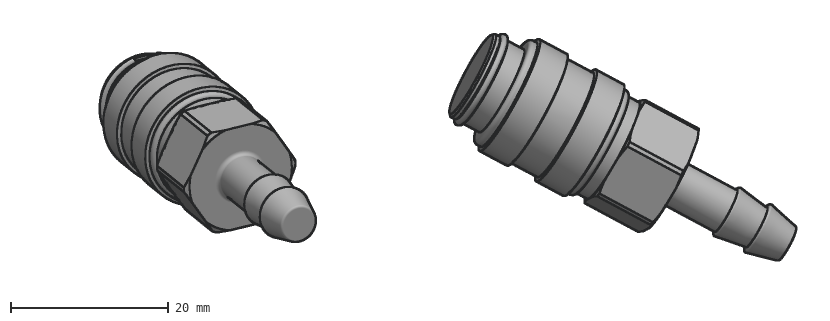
import cadquery as cq
import math


nose_dia = 12.0
nose_face_dia = 11.4
groove_floor_dia = 11.15
groove_start = 0.88
groove_end = 2.0

sleeve_start = 4.45
sleeve_end = 19.0
sleeve_dia = 15.1
neck_dia = 14.0
sleeve_rim_fillet = (sleeve_dia - neck_dia) / 2
band_dia = 16.15
band_inset = 1.0
band_root_width = 4.3
band_wall_taper = 0.15

hex_start = 20.68
hex_end = 29.07
hex_across_flats = 14.0
hex_corner_dia = 15.8
hex_turn = 3.0
hex_end_dia = 14.45
hex_chamfer_length = 0.28

stem_dia = 6.05
stem_root_fillet = 0.55
barb_dia = 7.1
barb_lip_fillet = 0.28
first_barb_start = 37.15
second_barb_start = 41.65
first_barb_end_dia = 5.7
tip_dia = 4.9
tip_fillet = 0.3
total_length = 46.15

wire_dia = 0.95
ring_gap_half_angle = 16.0


def cylinder(start, end, diameter):
    """Solid cylinder about the X axis between two X positions."""
    return cq.Workplane("YZ").workplane(offset=start).circle(diameter / 2).extrude(end - start)


def cone(start, end, start_dia, end_dia):
    """Solid cone frustum about the X axis."""
    return cq.Workplane(cq.Solid.makeCone(
        start_dia / 2, end_dia / 2, end - start, cq.Vector(start, 0, 0), cq.Vector(1, 0, 0)))


def make_nose():
    nose = cylinder(0, sleeve_start, nose_dia).faces("<X").chamfer((nose_dia - nose_face_dia) / 2)
    groove = cylinder(groove_start, groove_end, band_dia)
    groove_floor = cylinder(groove_start, groove_end, groove_floor_dia)
    return nose.cut(groove.cut(groove_floor))


def make_band(start):
    """Raised band whose end walls lean slightly inwards."""
    end = start + band_root_width
    crest_start = start + band_wall_taper
    crest_end = end - band_wall_taper
    band = cone(start, crest_start, sleeve_dia, band_dia)
    band = band.union(cylinder(crest_start, crest_end, band_dia))
    return band.union(cone(crest_end, end, band_dia, sleeve_dia))


def make_sleeve():
    sleeve = cylinder(sleeve_start, sleeve_end, sleeve_dia).faces("<X or >X").edges().fillet(sleeve_rim_fillet)
    first_band = sleeve_start + band_inset
    second_band = sleeve_end - band_inset - band_root_width
    for start in (first_band, second_band):
        sleeve = sleeve.union(make_band(start))
    return sleeve


def make_hexagon():
    point_dia = hex_across_flats / math.cos(math.pi / 6)
    prism = (
        cq.Workplane("YZ").workplane(offset=hex_start)
        .polygon(6, point_dia).extrude(hex_end - hex_start)
        .rotate((0, 0, 0), (1, 0, 0), hex_turn)
    )
    chamfer_in = hex_start + hex_chamfer_length
    chamfer_out = hex_end - hex_chamfer_length
    envelope = cone(hex_start, chamfer_in, hex_end_dia, hex_corner_dia)
    envelope = envelope.union(cylinder(chamfer_in, chamfer_out, hex_corner_dia))
    envelope = envelope.union(cone(chamfer_out, hex_end, hex_corner_dia, hex_end_dia))
    return prism.intersect(envelope)


def make_stem():
    root_dia = stem_dia + 2 * stem_root_fillet
    root_end = hex_end + stem_root_fillet
    root = (
        cq.Workplane("XY")
        .moveTo(hex_end, 0)
        .lineTo(hex_end, root_dia / 2)
        .radiusArc((root_end, stem_dia / 2), -stem_root_fillet)
        .lineTo(root_end, 0)
        .close()
        .revolve(360, (0, 0, 0), (1, 0, 0))
    )
    return root.union(cylinder(root_end, first_barb_start, stem_dia))


def make_barbs():
    first_barb = cone(first_barb_start, second_barb_start, barb_dia, first_barb_end_dia)
    first_barb = first_barb.faces("<X").edges().fillet(barb_lip_fillet)
    second_barb = cone(second_barb_start, total_length, barb_dia, tip_dia)
    second_barb = second_barb.faces("<X").edges().fillet(barb_lip_fillet)
    second_barb = second_barb.faces(">X").edges().fillet(tip_fillet)
    return first_barb.union(second_barb)


def make_housing():
    housing = make_nose().union(make_sleeve())
    housing = housing.union(cylinder(sleeve_end, hex_start, neck_dia))
    for section in (make_hexagon(), make_stem(), make_barbs()):
        housing = housing.union(section)
    return housing


def make_split_ring():
    """Round wire bent around X, with its gap centred on +Z."""
    wire_x = (groove_start + groove_end) / 2
    mid_radius = (groove_floor_dia + wire_dia) / 2
    sweep = 360 - 2 * ring_gap_half_angle
    ring = (
        cq.Workplane("XZ")
        .center(wire_x, mid_radius)
        .circle(wire_dia / 2)
        .revolve(sweep, (0, -mid_radius, 0), (1, -mid_radius, 0))
    )
    return ring.rotate((0, 0, 0), (1, 0, 0), ring_gap_half_angle)


housing = make_housing().solids()
split_ring = make_split_ring()

result = cq.Compound.makeCompound([housing.val(), split_ring.val()])